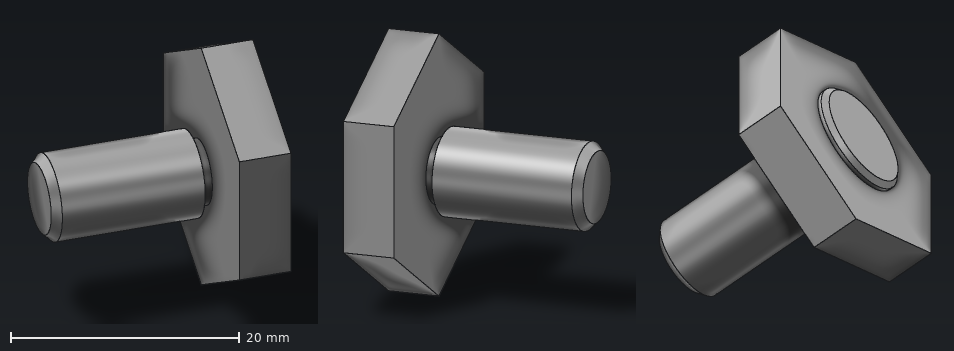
import cadquery as cq
import math

hex_sides = 6
across_flats = 20.6
total_length = 20.67
head_thickness = 4.8
boss_diameter = 10.4
boss_height = 0.87
boss_chamfer = 0.5
neck_diameter = 6.0
neck_length = 1.0
shank_diameter = 8.0
tip_chamfer = 0.77
eccentricity = 0.5

across_corners = across_flats / math.cos(math.pi / hex_sides)
shank_length = total_length - boss_height - head_thickness - neck_length

neck_end = -neck_length
boss_start = head_thickness

head_axis_z = 0.0
shank_axis_z = head_axis_z - eccentricity


def cylinder(diameter, start_y, length, axis_z):
    """Cylinder parallel to Y at height axis_z, growing toward +Y from start_y."""
    axis_direction = cq.Vector(0, 1, 0)
    start_point = cq.Vector(0, start_y, axis_z)
    solid = cq.Solid.makeCylinder(diameter / 2, length, start_point, axis_direction)
    return cq.Workplane(obj=solid)


def hex_head():
    """Hexagonal plate with corners pointing up and down and flats facing +X and -X."""
    corner_up = cq.Workplane("XZ").transformed(rotate=(0, 0, 90))
    return corner_up.polygon(hex_sides, across_corners).extrude(-head_thickness)


def boss():
    """Low round boss on the back of the head, chamfered on its outer edge."""
    body = cylinder(boss_diameter, boss_start, boss_height, head_axis_z)
    return body.faces(">Y").chamfer(boss_chamfer)


def neck():
    """Narrow neck between the head and the shank."""
    return cylinder(neck_diameter, neck_end, neck_length, shank_axis_z)


def shank():
    """Round shank with a chamfered tip, eccentric to the head."""
    body = cylinder(shank_diameter, neck_end - shank_length, shank_length, shank_axis_z)
    return body.faces("<Y").chamfer(tip_chamfer)


result = hex_head().union(boss()).union(neck()).union(shank())